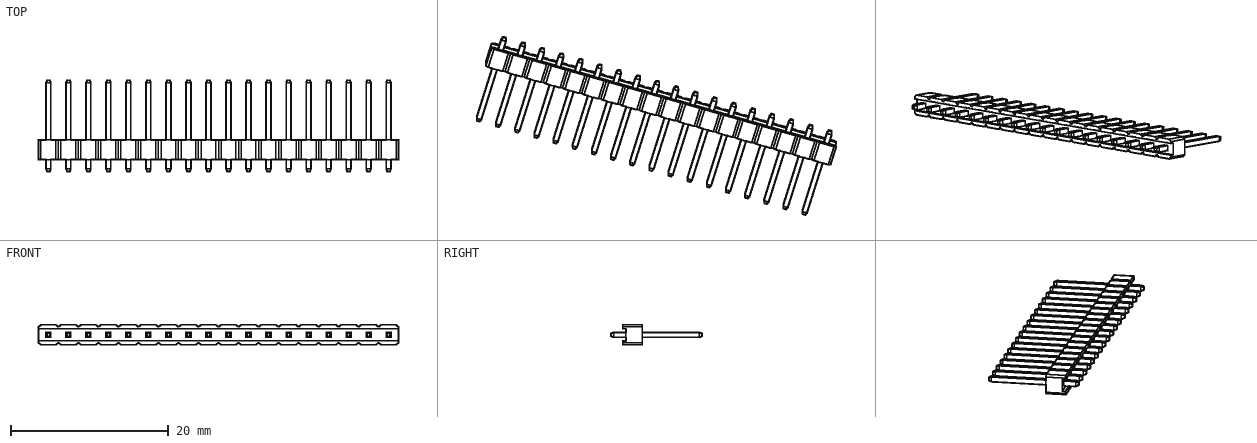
import cadquery as cq

pin_count = 18
strip_length = 45.7
strip_height = 2.55
strip_depth = 2.5
pitch = strip_length / pin_count

bevel_width = 0.3
bevel_height = 0.27
channel_height = 1.5
channel_depth = 0.4

pin_width = 0.65
pin_length = 11.6
pin_front_reach = 1.5
tip_length = 0.35
tip_width = 0.35

pin_front = -pin_front_reach
pin_back = pin_front + pin_length


def cell_center(index):
    return (index - (pin_count - 1) / 2) * pitch


def make_cell(center_x):
    """One strip cell: an octagonal outline with bevelled corners."""
    half_width = pitch / 2
    half_height = strip_height / 2
    flat_half_width = half_width - bevel_width
    flat_half_height = half_height - bevel_height
    return (
        cq.Workplane("XZ", origin=(center_x, 0, 0))
        .moveTo(-half_width, -flat_half_height)
        .lineTo(-flat_half_width, -half_height)
        .lineTo(flat_half_width, -half_height)
        .lineTo(half_width, -flat_half_height)
        .lineTo(half_width, flat_half_height)
        .lineTo(flat_half_width, half_height)
        .lineTo(-flat_half_width, half_height)
        .lineTo(-half_width, flat_half_height)
        .close()
        .extrude(-strip_depth)
    )


def make_strip():
    """Row of joined cells with a channel along the front face."""
    strip = make_cell(cell_center(0))
    for index in range(1, pin_count):
        strip = strip.union(make_cell(cell_center(index)))
    channel = (
        cq.Workplane("XY")
        .box(strip_length, channel_depth, channel_height)
        .translate((0, channel_depth / 2, 0))
    )
    return strip.cut(channel)


def make_tip(base_y, end_y):
    """Square pyramid frustum narrowing from the shank to the pin end."""
    return (
        cq.Workplane("XZ", origin=(0, base_y, 0))
        .rect(pin_width, pin_width)
        .workplane(offset=base_y - end_y)
        .rect(tip_width, tip_width)
        .loft(ruled=True)
    )


def make_pin():
    """Square pin with a tapered tip at both ends."""
    shank_front = pin_front + tip_length
    shank_back = pin_back - tip_length
    shank = (
        cq.Workplane("XY")
        .box(pin_width, shank_back - shank_front, pin_width)
        .translate((0, (shank_front + shank_back) / 2, 0))
    )
    return shank.union(make_tip(shank_front, pin_front)).union(make_tip(shank_back, pin_back))


result = make_strip()
pin = make_pin()
for index in range(pin_count):
    result = result.union(pin.translate((cell_center(index), 0, 0)))